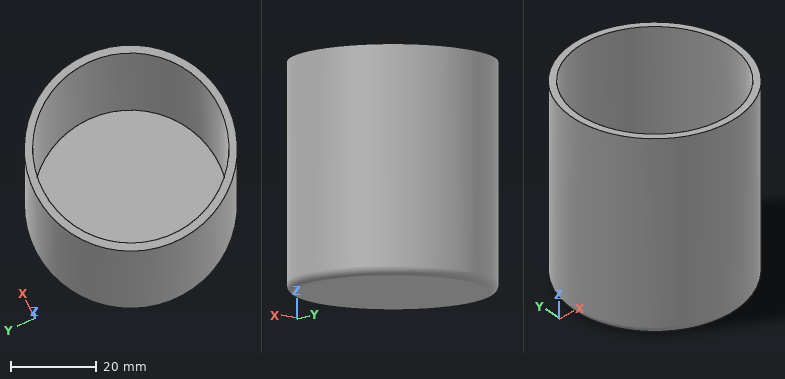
import cadquery as cq

height = 55.0
outer_diameter = 50.0
wall = 2.0
floor_thickness = wall
base_round = 2.0

inner_diameter = outer_diameter - 2 * wall

body = cq.Workplane("XY").circle(outer_diameter / 2).extrude(height)
body = body.faces("<Z").edges().fillet(base_round)

cavity = (
    cq.Workplane("XY")
    .workplane(offset=floor_thickness)
    .circle(inner_diameter / 2)
    .extrude(height - floor_thickness)
)

result = body.cut(cavity)